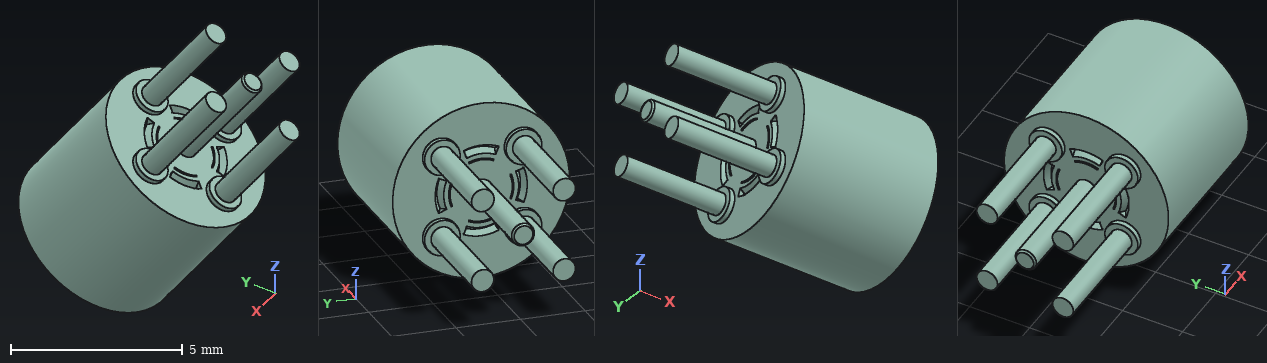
import cadquery as cq
import math

total_length = 8.55
pin_length = 3.71
body_length = total_length - pin_length
body_diameter = 5.5

pin_diameter = 0.7
pin_offset = 1.265
centre_pin_chamfer = 0.06
collar_diameter = 1.1
collar_height = 0.17

groove_count = 4
groove_span = 45.0
wide_groove_inner_radius = 1.16
wide_groove_outer_radius = 1.43
narrow_groove_inner_radius = 0.97
narrow_groove_outer_radius = 1.01
groove_wall_slope = 60.0


def rod(diameter, length, y=0.0, z=0.0):
    """Cylinder standing on the pin face and reaching toward -X."""
    return cq.Workplane("YZ").center(y, z).circle(diameter / 2).extrude(-length)


def arc_groove(inner_radius, outer_radius, mid_angle):
    """V-section groove swept about the X axis, centred on mid_angle."""
    mid_radius = (inner_radius + outer_radius) / 2
    depth = (outer_radius - inner_radius) / 2 * math.tan(math.radians(groove_wall_slope))
    return (
        cq.Workplane("XY")
        .polyline([(0, inner_radius), (0, outer_radius), (depth, mid_radius)])
        .close()
        .revolve(groove_span, (0, 0, 0), (1, 0, 0))
        .rotate((0, 0, 0), (1, 0, 0), mid_angle - groove_span / 2)
    )


body = cq.Workplane("YZ").circle(body_diameter / 2).extrude(body_length)
centre_pin = rod(pin_diameter, pin_length).faces("<X").chamfer(centre_pin_chamfer)
result = body.union(centre_pin)

for y_side in (-1, 1):
    for z_side in (-1, 1):
        y = y_side * pin_offset
        z = z_side * pin_offset
        result = result.union(rod(collar_diameter, collar_height, y, z))
        result = result.union(rod(pin_diameter, pin_length, y, z))

for index in range(groove_count):
    angle = index * 360.0 / groove_count
    result = result.cut(arc_groove(wide_groove_inner_radius, wide_groove_outer_radius, angle))
    result = result.cut(arc_groove(narrow_groove_inner_radius, narrow_groove_outer_radius, angle))